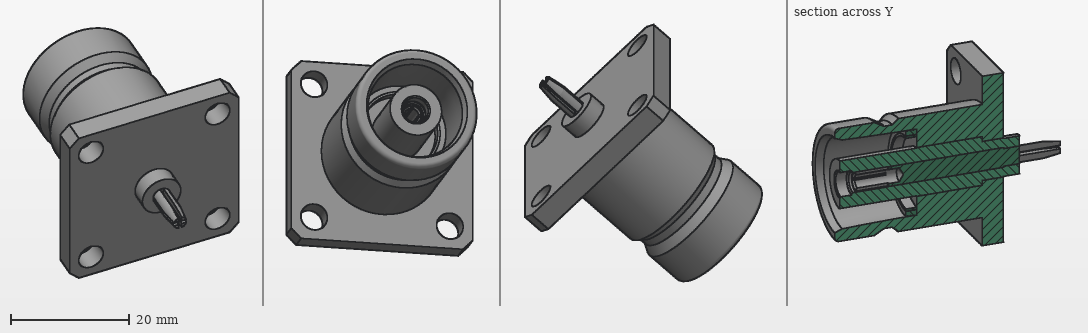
import cadquery as cq


barrel_d = 21.08
front_edge_radius = 0.77
groove_d = 19.1
groove_front_edge = 7.25
groove_floor_start = 9.0
groove_floor_end = 10.5
groove_rear_edge = 11.63

flange_size = 31.5
flange_front = 27.0
flange_thickness = 3.9
flange_rear = flange_front + flange_thickness
flange_corner_chamfer = 1.7
mounting_hole_d = 4.57
mounting_hole_spacing = 23.57

mouth_d = 17.5
mouth_chamfer_depth = 1.35
throat_d = 16.4
cavity_floor_d = 15.88
cavity_floor = 15.0

ring_thickness = 2.0
ring_front = cavity_floor - ring_thickness
ring_joint_d = 13.87
ground_ring_inner_d = 13.01

insulator_d = 8.94
insulator_front = 0.9
insulator_tail_d = 7.14
insulator_tail_end = 33.87
insulator_mouth_d = 4.98
insulator_mouth_depth = 0.2
insulator_bore_d = 4.42
insulator_step = 3.05
funnel_d = 4.2
contact_hole_d = 3.66
funnel_end = insulator_step + (funnel_d - contact_hole_d) / 2

contact_d = 3.56
contact_recess = 0.5
contact_front = funnel_end + contact_recess
socket_d = 2.49
socket_mouth_d = 3.2
socket_mouth_depth = (socket_mouth_d - socket_d) / 2
socket_depth = 8.0
socket_end = contact_front + socket_depth
socket_cone_depth = 0.7
socket_cone_end = socket_end + socket_cone_depth
socket_slot_width = 0.4
socket_slot_depth = 6.0
socket_slot_end = contact_front + socket_slot_depth

tail_d = 3.175
tail_tip_d = 2.31
tail_taper_start = 38.3
contact_end = 41.43
tail_slot_width = 0.62


def turned(outline):
    """Solid of revolution about X from (x, diameter) points."""
    points = [(x, diameter / 2) for x, diameter in outline]
    return cq.Workplane("XY").polyline(points).close().revolve(360, (0, 0, 0), (1, 0, 0))


def cross_slots(start, end, width, reach):
    """Two crossed slabs along X that split a round end into four fingers."""
    middle = (start + end) / 2
    slab = cq.Workplane("XY").box(end - start, reach, width).translate((middle, 0, 0))
    return slab.union(slab.rotate((0, 0, 0), (1, 0, 0), 90))


def make_housing():
    """Grooved barrel with a drilled square flange, bored for the rings and insulator."""
    barrel = turned([
        (0, 0), (0, barrel_d),
        (groove_front_edge, barrel_d),
        (groove_floor_start, groove_d),
        (groove_floor_end, groove_d),
        (groove_rear_edge, barrel_d),
        (flange_front, barrel_d), (flange_front, 0),
    ])
    barrel = barrel.faces("<X").edges().fillet(front_edge_radius)
    flange = (
        cq.Workplane("YZ", origin=(flange_front, 0, 0))
        .rect(flange_size, flange_size).extrude(flange_thickness)
        .edges("|X").chamfer(flange_corner_chamfer)
        .faces("<X").workplane(origin=(flange_front, 0, 0))
        .rect(mounting_hole_spacing, mounting_hole_spacing, forConstruction=True)
        .vertices().hole(mounting_hole_d)
    )
    bore = turned([
        (0, 0), (0, mouth_d),
        (mouth_chamfer_depth, throat_d),
        (cavity_floor, cavity_floor_d),
        (cavity_floor, insulator_d),
        (flange_front, insulator_d),
        (flange_front, insulator_tail_d),
        (flange_rear, insulator_tail_d), (flange_rear, 0),
    ])
    return barrel.union(flange).cut(bore)


def make_ring(outer_d, inner_d):
    """Flat-faced ring whose rear face rests on the cavity floor."""
    return turned([
        (ring_front, inner_d), (ring_front, outer_d),
        (cavity_floor, outer_d), (cavity_floor, inner_d),
    ])


def make_insulator():
    """Stepped sleeve whose bore narrows through a funnel to the contact hole."""
    return turned([
        (insulator_front, insulator_mouth_d), (insulator_front, insulator_d),
        (flange_front, insulator_d),
        (flange_front, insulator_tail_d),
        (insulator_tail_end, insulator_tail_d),
        (insulator_tail_end, tail_d),
        (flange_rear, tail_d),
        (flange_rear, contact_d),
        (socket_slot_end, contact_d),
        (socket_slot_end, contact_hole_d),
        (funnel_end, contact_hole_d),
        (insulator_step, funnel_d),
        (insulator_step, insulator_bore_d),
        (insulator_front + insulator_mouth_depth, insulator_bore_d),
    ])


def make_contact():
    """Pin with a drilled socket in front and a tapered tail, both split into four fingers."""
    contact = turned([
        (contact_front, socket_mouth_d), (contact_front, contact_d),
        (flange_rear, contact_d),
        (flange_rear, tail_d),
        (tail_taper_start, tail_d),
        (contact_end, tail_tip_d), (contact_end, 0),
        (socket_cone_end, 0),
        (socket_end, socket_d),
        (contact_front + socket_mouth_depth, socket_d),
    ])
    socket_slots = cross_slots(contact_front, socket_slot_end, socket_slot_width, contact_d)
    tail_slots = cross_slots(insulator_tail_end, contact_end, tail_slot_width, tail_d)
    return contact.cut(socket_slots).cut(tail_slots)


housing = make_housing()
seal_ring = make_ring(cavity_floor_d, ring_joint_d)
ground_ring = make_ring(ring_joint_d, ground_ring_inner_d)
insulator = make_insulator()
contact = make_contact()

result = cq.Compound.makeCompound([
    housing.val(), seal_ring.val(), ground_ring.val(), insulator.val(), contact.val(),
])